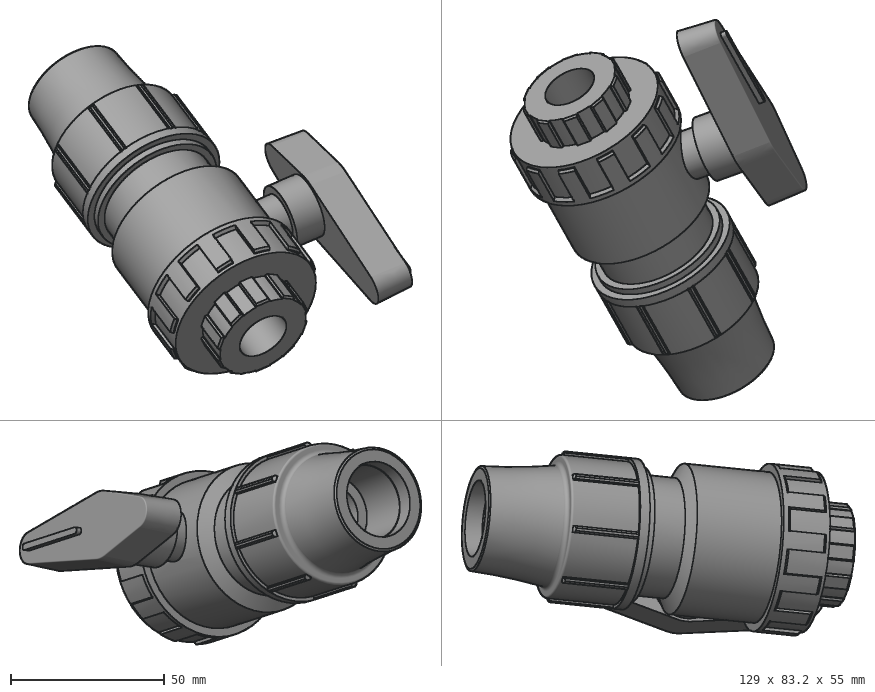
import cadquery as cq
import math

TOTAL_LENGTH = 129.0
TOTAL_DEPTH = 83.2

SPIGOT_END = 24.5
SPIGOT_TIP_RADIUS = 17.3
SPIGOT_TAPER_BOW = 0.4
TIP_CHAMFER_LENGTH = 0.4
TIP_CHAMFER_DEPTH = 0.8
NECK_RADIUS = 39.6 / 2

INLET_NUT_START = 26.0
INLET_NUT_END = 49.0
INLET_NUT_RADIUS = 47.1 / 2
INLET_NUT_ROUND = 0.8
COVE_RADIUS = 1.5
INLET_RIB_COUNT = 8
INLET_RIB_START = 27.0
INLET_RIB_END_SLOPE = 0.8
INLET_RIB_SHOULDER_RADIUS = 24.2
INLET_RIB_WIDTH = 2.2
INLET_RIB_CREST_WIDTH = 0.9

FLANGE_END = 52.2
COLLAR_END = 54.5
COLLAR_RADIUS = 44.5 / 2

BODY_CONE_START = 65.5
BODY_START = 68.2
BODY_END = 96.7
BODY_RADIUS = 49.5 / 2

OUTLET_NUT_END = 112.7
OUTLET_NUT_RADIUS = 52.7 / 2
OUTLET_RIDGE_RADIUS = 55.0 / 2
OUTLET_RIM_END = 98.4
OUTLET_RIM_SLOPE = 0.9
OUTLET_RIDGE_END = 111.4
OUTLET_RIDGE_CHAMFER = 0.8
OUTLET_RIDGE_COUNT = 12
OUTLET_RIDGE_ANGLE = 12.6

TAIL_END = 124.0
TAIL_RADIUS = 16.1
TAIL_RIDGE_RADIUS = 16.9
TAIL_RIDGE_COUNT = 10
TAIL_RIDGE_BASE_WIDTH = 5.4
TAIL_RIDGE_CREST_WIDTH = 4.5
TAIL_RIDGE_CHAMFER = 0.6

BORE_RADIUS = 17.5 / 2
SOCKET_RADIUS = 12.4
SOCKET_DEPTH = SPIGOT_END
SOCKET_MOUTH_RADIUS = 25.0 / 2
SOCKET_MOUTH_DEPTH = 5.8

STEM_X = 82.7
STEM_RADIUS = 16.5 / 2
STEM_COLLAR_RADIUS = 22.0 / 2
STEM_COLLAR_BOTTOM = 30.2
HANDLE_BOTTOM = 40.5
HANDLE_TOP = 53.8
HANDLE_START = 54.5
HANDLE_HUB_RADIUS = 24.1 / 2
HANDLE_TIP_RADIUS = 6.0
HANDLE_DRAFT = 3.0
HANDLE_EDGE_ROUND = 0.4
POINTER_START = 92.6
POINTER_END = 123.7
POINTER_WIDTH = 2.2
POINTER_TOP = TOTAL_DEPTH - OUTLET_RIDGE_RADIUS

ROOT_OVERLAP = 0.6
POCKET_CLEARANCE = 1.3

DIAGONAL = math.sqrt(0.5)


def revolve_about_x(profile, angle=360):
    """Turn a closed profile, drawn as (x, radius), about the flow axis."""
    return profile.close().revolve(angle, (0, 0, 0), (1, 0, 0))


def x_cylinder(radius, start, end):
    return cq.Workplane("YZ", origin=(start, 0, 0)).circle(radius).extrude(end - start)


def y_cylinder(radius, start, end):
    """Cylinder on the stem axis between two heights along Y."""
    plane = cq.Plane(origin=(STEM_X, start, 0), xDir=(1, 0, 0), normal=(0, 1, 0))
    return cq.Workplane(plane).circle(radius).extrude(end - start)


def around_x(solid, count, first_angle):
    """Copies of a solid spread evenly around the flow axis."""
    copies = []
    for index in range(count):
        angle = first_angle + index * 360 / count
        copies.append(solid.rotate((0, 0, 0), (1, 0, 0), angle))
    return copies


def fuse_all(base, solids):
    for solid in solids:
        base = base.union(solid)
    return base


def straight_rib(half_section, start, end):
    """Rib along X on the +Y side; its half section lists (radius, half width) from root to crest."""
    lower_side = [(radius, -half_width) for radius, half_width in half_section]
    upper_side = list(reversed(half_section))
    return (
        cq.Workplane("YZ", origin=(start, 0, 0))
        .polyline(lower_side + upper_side)
        .close()
        .extrude(end - start)
    )


def turned_body():
    """Everything that is round about the flow axis, without ribs or bore."""
    taper_middle = (
        (TIP_CHAMFER_LENGTH + SPIGOT_END) / 2,
        (SPIGOT_TIP_RADIUS + NECK_RADIUS) / 2 - SPIGOT_TAPER_BOW,
    )
    cove_middle = (
        INLET_NUT_START - COVE_RADIUS * (1 - DIAGONAL),
        NECK_RADIUS + COVE_RADIUS * (1 - DIAGONAL),
    )
    nut_round_middle = (
        INLET_NUT_START + INLET_NUT_ROUND * (1 - DIAGONAL),
        INLET_NUT_RADIUS - INLET_NUT_ROUND * (1 - DIAGONAL),
    )
    profile = (
        cq.Workplane("XY")
        .moveTo(0, 0)
        .lineTo(0, SPIGOT_TIP_RADIUS - TIP_CHAMFER_DEPTH)
        .lineTo(TIP_CHAMFER_LENGTH, SPIGOT_TIP_RADIUS)
        .threePointArc(taper_middle, (SPIGOT_END, NECK_RADIUS))
        .threePointArc(cove_middle, (INLET_NUT_START, NECK_RADIUS + COVE_RADIUS))
        .lineTo(INLET_NUT_START, INLET_NUT_RADIUS - INLET_NUT_ROUND)
        .threePointArc(nut_round_middle, (INLET_NUT_START + INLET_NUT_ROUND, INLET_NUT_RADIUS))
        .lineTo(INLET_NUT_END, INLET_NUT_RADIUS)
        .lineTo(INLET_NUT_END, BODY_RADIUS)
        .lineTo(FLANGE_END, BODY_RADIUS)
        .lineTo(FLANGE_END, COLLAR_RADIUS)
        .lineTo(COLLAR_END, COLLAR_RADIUS)
        .lineTo(COLLAR_END, NECK_RADIUS)
        .lineTo(BODY_CONE_START, NECK_RADIUS)
        .lineTo(BODY_START, BODY_RADIUS)
        .lineTo(BODY_END, BODY_RADIUS)
        .lineTo(BODY_END, OUTLET_RIDGE_RADIUS)
        .lineTo(OUTLET_RIDGE_END - OUTLET_RIDGE_CHAMFER, OUTLET_RIDGE_RADIUS)
        .lineTo(OUTLET_RIDGE_END, OUTLET_RIDGE_RADIUS - OUTLET_RIDGE_CHAMFER)
        .lineTo(OUTLET_RIDGE_END, OUTLET_NUT_RADIUS)
        .lineTo(OUTLET_NUT_END, OUTLET_NUT_RADIUS)
        .lineTo(OUTLET_NUT_END, TAIL_RADIUS)
        .lineTo(TAIL_END, TAIL_RADIUS)
        .lineTo(TAIL_END, 0)
    )
    return revolve_about_x(profile)


def inlet_nut_ribs():
    """Narrow ribs with a bevelled crest and a front end that leans back."""
    root_radius = INLET_NUT_RADIUS - ROOT_OVERLAP
    half_section = [
        (root_radius, INLET_RIB_WIDTH / 2),
        (INLET_RIB_SHOULDER_RADIUS, INLET_RIB_WIDTH / 2),
        (BODY_RADIUS, INLET_RIB_CREST_WIDTH / 2),
    ]
    rib = straight_rib(half_section, INLET_RIB_START, INLET_NUT_END)
    leaning_end = (
        cq.Workplane("XY", origin=(0, 0, -INLET_RIB_WIDTH))
        .moveTo(INLET_RIB_START, INLET_NUT_RADIUS)
        .lineTo(INLET_RIB_START + INLET_RIB_END_SLOPE, BODY_RADIUS)
        .lineTo(INLET_RIB_START, BODY_RADIUS)
        .close()
        .extrude(2 * INLET_RIB_WIDTH)
    )
    return around_x(rib.cut(leaning_end), INLET_RIB_COUNT, 180 / INLET_RIB_COUNT)


def outlet_nut_pockets():
    """Recesses between the wide grip ridges, each with a sloped end against the solid rim."""
    clear_radius = OUTLET_RIDGE_RADIUS + POCKET_CLEARANCE
    profile = (
        cq.Workplane("XY")
        .moveTo(OUTLET_RIM_END, clear_radius)
        .lineTo(OUTLET_RIM_END, OUTLET_RIDGE_RADIUS)
        .lineTo(OUTLET_RIM_END + OUTLET_RIM_SLOPE, OUTLET_NUT_RADIUS)
        .lineTo(OUTLET_RIDGE_END, OUTLET_NUT_RADIUS)
        .lineTo(OUTLET_RIDGE_END, clear_radius)
    )
    pitch = 360 / OUTLET_RIDGE_COUNT
    pocket_angle = pitch - OUTLET_RIDGE_ANGLE
    pocket = revolve_about_x(profile, pocket_angle)
    return around_x(pocket, OUTLET_RIDGE_COUNT, -pocket_angle / 2)


def tail_ridges():
    """Spline ridges with flared sides and a chamfered outer end."""
    half_section = [
        (TAIL_RADIUS - ROOT_OVERLAP, TAIL_RIDGE_BASE_WIDTH / 2),
        (TAIL_RADIUS, TAIL_RIDGE_BASE_WIDTH / 2),
        (TAIL_RIDGE_RADIUS, TAIL_RIDGE_CREST_WIDTH / 2),
    ]
    ridge = straight_rib(half_section, OUTLET_NUT_END - ROOT_OVERLAP, TAIL_END)
    ridge = ridge.faces(">Y").edges(">X").chamfer(TAIL_RIDGE_CHAMFER)
    return around_x(ridge, TAIL_RIDGE_COUNT, 180 / TAIL_RIDGE_COUNT)


def handle():
    """Drafted lever: a round hub and two round tips joined by tangent sides."""
    left_tip = HANDLE_START + HANDLE_TIP_RADIUS - STEM_X
    right_tip = TOTAL_LENGTH - HANDLE_TIP_RADIUS - STEM_X
    radius_drop = HANDLE_HUB_RADIUS - HANDLE_TIP_RADIUS
    left_tilt = math.asin(radius_drop / -left_tip)
    right_tilt = math.asin(radius_drop / right_tip)

    def left_point(center, radius, side):
        return (center - radius * math.sin(left_tilt), side * radius * math.cos(left_tilt))

    def right_point(center, radius, side):
        return (center + radius * math.sin(right_tilt), side * radius * math.cos(right_tilt))

    plane = cq.Plane(origin=(STEM_X, HANDLE_BOTTOM, 0), xDir=(1, 0, 0), normal=(0, 1, 0))
    return (
        cq.Workplane(plane)
        .moveTo(*left_point(0, HANDLE_HUB_RADIUS, 1))
        .threePointArc((0, HANDLE_HUB_RADIUS), right_point(0, HANDLE_HUB_RADIUS, 1))
        .lineTo(*right_point(right_tip, HANDLE_TIP_RADIUS, 1))
        .threePointArc(
            (right_tip + HANDLE_TIP_RADIUS, 0), right_point(right_tip, HANDLE_TIP_RADIUS, -1)
        )
        .lineTo(*right_point(0, HANDLE_HUB_RADIUS, -1))
        .threePointArc((0, -HANDLE_HUB_RADIUS), left_point(0, HANDLE_HUB_RADIUS, -1))
        .lineTo(*left_point(left_tip, HANDLE_TIP_RADIUS, -1))
        .threePointArc(
            (left_tip - HANDLE_TIP_RADIUS, 0), left_point(left_tip, HANDLE_TIP_RADIUS, 1)
        )
        .close()
        .extrude(HANDLE_TOP - HANDLE_BOTTOM, taper=HANDLE_DRAFT)
        .faces(">Y")
        .edges()
        .fillet(HANDLE_EDGE_ROUND)
    )


def pointer():
    """Round-ended position mark standing on the outer face of the handle."""
    middle = (POINTER_START + POINTER_END) / 2
    base = HANDLE_TOP - ROOT_OVERLAP
    plane = cq.Plane(origin=(middle, base, 0), xDir=(1, 0, 0), normal=(0, 1, 0))
    return (
        cq.Workplane(plane)
        .slot2D(POINTER_END - POINTER_START, POINTER_WIDTH)
        .extrude(POINTER_TOP - base)
    )


def bore():
    """Through bore with a stepped socket at the inlet."""
    passage = x_cylinder(BORE_RADIUS, 0, TAIL_END)
    socket = x_cylinder(SOCKET_RADIUS, 0, SOCKET_DEPTH)
    mouth = x_cylinder(SOCKET_MOUTH_RADIUS, 0, SOCKET_MOUTH_DEPTH)
    return passage.union(socket).union(mouth)


valve = turned_body()
valve = fuse_all(valve, inlet_nut_ribs())
for pocket in outlet_nut_pockets():
    valve = valve.cut(pocket)
valve = fuse_all(valve, tail_ridges())

stem = y_cylinder(STEM_RADIUS, NECK_RADIUS, STEM_COLLAR_BOTTOM)
stem_collar = y_cylinder(STEM_COLLAR_RADIUS, STEM_COLLAR_BOTTOM, HANDLE_BOTTOM)
valve = fuse_all(valve, [stem, stem_collar, handle(), pointer()])

result = valve.cut(bore())